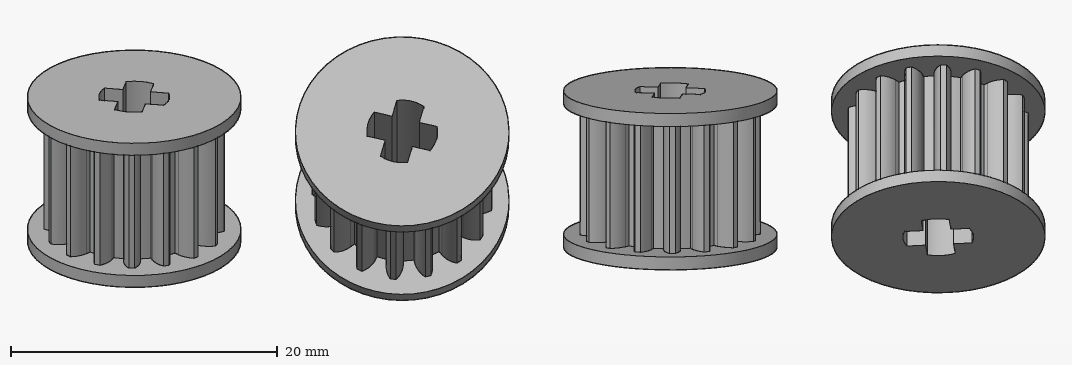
import cadquery as cq
import math

flange_diameter = 16.0
total_height = 12.0
belt_height = 10.0
flange_thickness = (total_height - belt_height) / 2

tooth_count = 16
tooth_pitch_angle = 360 / tooth_count
tip_diameter = 13.5
root_diameter = 10.34
groove_floor_width = 0.77
groove_throat_width = 0.9
groove_mouth_width = 2.2
throat_distance = 5.54
flank_radius = 2.0

axle_diameter = 5.3
axle_arm_width = 2.1
axle_angle = 25.0


def height_on_circle(diameter, half_width):
    """Distance from the axis to a chord of the given half width."""
    return math.sqrt((diameter / 2) ** 2 - half_width ** 2)


def flange(base_height):
    return (
        cq.Workplane("XY")
        .workplane(offset=base_height)
        .circle(flange_diameter / 2)
        .extrude(flange_thickness)
    )


def groove_cutter():
    """One tooth gap, centred on +X and open beyond the tooth tips."""
    floor_half = groove_floor_width / 2
    throat_half = groove_throat_width / 2
    mouth_half = groove_mouth_width / 2
    floor_x = height_on_circle(root_diameter, floor_half)
    mouth_x = height_on_circle(tip_diameter, mouth_half)
    open_x = flange_diameter / 2
    return (
        cq.Workplane("XY")
        .workplane(offset=flange_thickness)
        .moveTo(open_x, -mouth_half)
        .lineTo(mouth_x, -mouth_half)
        .radiusArc((throat_distance, -throat_half), -flank_radius)
        .lineTo(floor_x, -floor_half)
        .threePointArc((root_diameter / 2, 0), (floor_x, floor_half))
        .lineTo(throat_distance, throat_half)
        .radiusArc((mouth_x, mouth_half), -flank_radius)
        .lineTo(open_x, mouth_half)
        .close()
        .extrude(belt_height)
    )


def toothed_drum():
    drum = (
        cq.Workplane("XY")
        .workplane(offset=flange_thickness)
        .circle(tip_diameter / 2)
        .extrude(belt_height)
    )
    groove = groove_cutter()
    for index in range(tooth_count):
        drum = drum.cut(groove.rotate((0, 0, 0), (0, 0, 1), index * tooth_pitch_angle))
    return drum


def axle_hole():
    """Cross with rounded arm ends, running the full height."""
    arms = (
        cq.Workplane("XY")
        .rect(axle_diameter, axle_arm_width)
        .extrude(total_height)
        .union(cq.Workplane("XY").rect(axle_arm_width, axle_diameter).extrude(total_height))
    )
    envelope = cq.Workplane("XY").circle(axle_diameter / 2).extrude(total_height)
    return arms.intersect(envelope).rotate((0, 0, 0), (0, 0, 1), axle_angle)


result = (
    toothed_drum()
    .union(flange(0))
    .union(flange(total_height - flange_thickness))
    .cut(axle_hole())
)